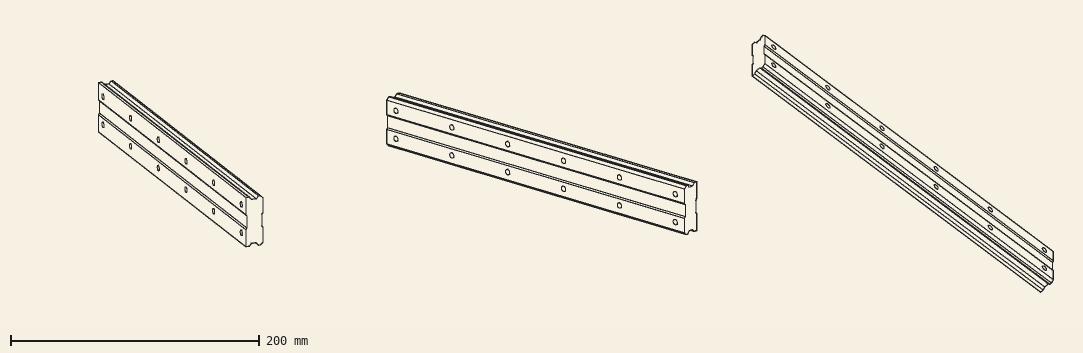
import cadquery as cq

length = 320.0
thickness = 15.0
height = 42.0

corner_chamfer = 2.2
groove_depth = 2.2
groove_wall_run = 2.0
groove_rear_y = 3.5
groove_front_y = -4.5

relief_depth = 1.0
relief_mouth = 12.8
relief_floor = 10.2

hole_diameter = 4.5
hole_row_spacing = 24.0
hole_end_margin = 10.0
holes_per_row = 6
hole_pitch = (length - 2 * hole_end_margin) / (holes_per_row - 1)

half_thickness = thickness / 2
half_height = height / 2
groove_floor_z = half_height - groove_depth

upper_half = [
    (half_thickness - relief_depth, relief_floor / 2),
    (half_thickness, relief_mouth / 2),
    (half_thickness, half_height - corner_chamfer),
    (half_thickness - corner_chamfer, half_height),
    (groove_rear_y, half_height),
    (groove_rear_y - groove_wall_run, groove_floor_z),
    (groove_front_y + groove_wall_run, groove_floor_z),
    (groove_front_y, half_height),
    (-half_thickness, half_height),
    (-half_thickness, relief_mouth / 2),
    (-half_thickness + relief_depth, relief_floor / 2),
]
lower_half = [(y, -z) for y, z in reversed(upper_half)]

rail = (
    cq.Workplane("YZ")
    .polyline(upper_half + lower_half)
    .close()
    .extrude(length / 2, both=True)
)

holes = (
    cq.Workplane("XZ")
    .rarray(hole_pitch, hole_row_spacing, holes_per_row, 2)
    .circle(hole_diameter / 2)
    .extrude(thickness, both=True)
)

result = rail.cut(holes)